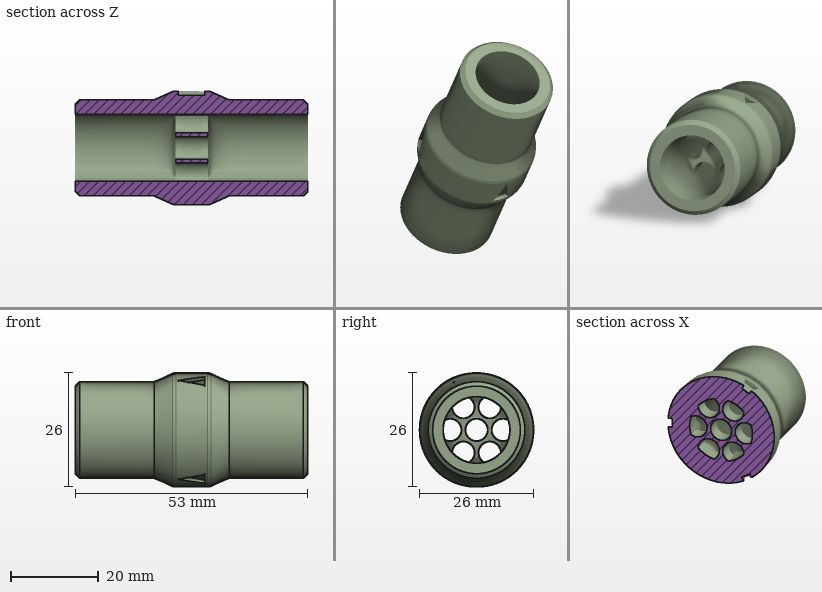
import cadquery as cq

length = 53.0
tube_radius = 11.0
bore_radius = 7.6
end_chamfer = 1.0

collar_radius = 13.01
collar_half_width = 4.05
collar_foot = 8.55
collar_rounding = 2.0

web_thickness = 7.4
hole_radius = 2.52
hole_pitch_radius = 6.0
outer_hole_count = 6

arrow_tip_x = -3.0
arrow_base_x = 2.95
arrow_width = 4.0
arrow_depth = 1.0
arrow_angles = (30, 150, 270)


def make_body():
    """Chamfered solid tube blank with a cone-sided collar."""
    tube = (
        cq.Workplane("YZ")
        .circle(tube_radius)
        .extrude(length / 2, both=True)
        .faces("<X or >X")
        .chamfer(end_chamfer)
    )
    collar = (
        cq.Workplane("XY")
        .moveTo(-collar_foot, 0)
        .lineTo(-collar_foot, tube_radius)
        .lineTo(-collar_half_width, collar_radius)
        .lineTo(collar_half_width, collar_radius)
        .lineTo(collar_foot, tube_radius)
        .lineTo(collar_foot, 0)
        .close()
        .revolve(360, (0, 0, 0), (1, 0, 0))
    )
    corner_plane = cq.selectors.BoxSelector(
        (-collar_half_width - 0.55, -length, -length),
        (collar_half_width + 0.55, length, length),
    )
    collar = collar.edges("%CIRCLE").edges(corner_plane).fillet(collar_rounding)
    return tube.union(collar)


def make_bore():
    """Bore volume, leaving the perforated web standing at mid-length."""
    bore = cq.Workplane("YZ").circle(bore_radius).extrude(length / 2, both=True)
    web = cq.Workplane("YZ").circle(bore_radius).extrude(web_thickness / 2, both=True)
    holes = (
        cq.Workplane("YZ")
        .circle(hole_radius)
        .extrude(web_thickness, both=True)
    )
    outer_holes = (
        cq.Workplane("YZ")
        .polarArray(hole_pitch_radius, 0, 360, outer_hole_count)
        .circle(hole_radius)
        .extrude(web_thickness, both=True)
    )
    return bore.cut(web.cut(holes).cut(outer_holes))


def make_arrow(angle):
    """Triangular pocket with a flat floor, pointing toward -X."""
    return (
        cq.Workplane("XY", origin=(0, 0, collar_radius - arrow_depth))
        .polyline([
            (arrow_tip_x, 0),
            (arrow_base_x, -arrow_width / 2),
            (arrow_base_x, arrow_width / 2),
        ])
        .close()
        .extrude(2 * arrow_depth)
        .rotate((0, 0, 0), (1, 0, 0), angle)
    )


result = make_body().cut(make_bore())
for arrow_angle in arrow_angles:
    result = result.cut(make_arrow(arrow_angle))